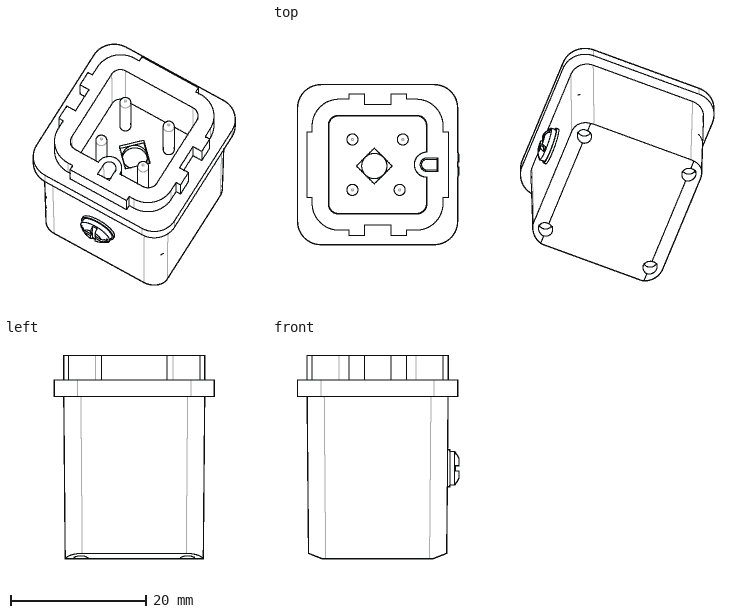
import cadquery as cq
import math

flange_bottom = 24.0
flange_thickness = 2.5
total_height = 30.1
flange_top = flange_bottom + flange_thickness
collar_height = total_height - flange_top

body_side = 20.9
body_corner_radius = 2.55
body_inset = 0.21
bottom_side = body_side - 2 * body_inset
bevel_start = 8.2
bevel_height = 0.8

flange_side = 23.74
flange_corner_radius = 3.5

collar_side = 19.4
collar_corner_radius = 4.0
rib_reach = 10.46
wide_rib_width = 9.7
coded_rib_width = 8.5
notch_width = 3.92
notch_floor_y = 8.94

cavity_side = 14.6
cavity_corner_radius = 1.5
cavity_depth = 11.5
cavity_taper = 0.4
cavity_floor = total_height - cavity_depth
key_center_x = cavity_side / 2
key_radius = 1.86
slot_radius = 1.0
slot_end_x = 8.97
slot_depth = 6.0
slot_taper = 2.0

recess_center = (-0.49, -0.2)
recess_side = 3.74
recess_depth = 1.0
recess_hole_depth = 1.0

pin_radius = 0.82
pin_tip_flat_radius = 0.16
pin_tip_drop = 1.74
pin_top = total_height - pin_tip_drop
pin_offset = 3.73
offset_pin_x = 3.26
pin_centers = [
    (-pin_offset, pin_offset),
    (pin_offset, pin_offset),
    (-pin_offset, -pin_offset),
    (offset_pin_x, -pin_offset),
]

terminal_x = 8.3
terminal_y = 7.9
terminal_hole_radius = 1.04
terminal_hole_depth = 3.0

screw_height = 13.4
washer_radius = 2.75
washer_outer_x = 10.7
head_radius = 2.5
head_edge_x = 11.4
head_top_x = 12.06
head_top_radius = 1.5
screw_root_depth = 1.0
screw_root_x = body_side / 2 - screw_root_depth
screw_slot_width = 0.75
screw_slot_floor_x = 11.55


def rounded_block(side, corner_radius, height, base_z):
    """Square block with rounded upright corners, centred on the Z axis."""
    block = cq.Workplane("XY").workplane(offset=base_z).rect(side, side).extrude(height)
    return block.edges("|Z").fillet(corner_radius)


def rounded_square(side, corner_radius):
    return cq.Sketch().rect(side, side).vertices().fillet(corner_radius)


def make_body():
    bottom_profile = rounded_square(bottom_side, body_corner_radius)
    top_profile = rounded_square(body_side, body_corner_radius)
    body = (
        cq.Workplane("XY")
        .placeSketch(bottom_profile, top_profile.moved(cq.Location(cq.Vector(0, 0, flange_bottom))))
        .loft(ruled=True)
    )
    bevel_run = bottom_side / 2 - bevel_start
    overrun = 2.0
    bevel = (
        cq.Workplane("XZ")
        .moveTo(bevel_start, 0)
        .lineTo(bevel_start + overrun * bevel_run, overrun * bevel_height)
        .lineTo(bevel_start + overrun * bevel_run, 0)
        .close()
        .extrude(body_side / 2, both=True)
    )
    return body.cut(bevel).cut(bevel.mirror("YZ"))


def make_collar():
    base = cq.Workplane("XY").workplane(offset=flange_top)
    collar = rounded_block(collar_side, collar_corner_radius, collar_height, flange_top)
    collar = collar.union(base.rect(2 * rib_reach, wide_rib_width).extrude(collar_height))
    collar = collar.union(base.rect(coded_rib_width, 2 * rib_reach).extrude(collar_height))
    notch_depth = rib_reach - notch_floor_y
    notch_center_y = notch_floor_y + notch_depth / 2
    notches = (
        base.pushPoints([(0, notch_center_y), (0, -notch_center_y)])
        .rect(notch_width, notch_depth)
        .extrude(collar_height)
    )
    return collar.cut(notches)


def make_cavity():
    top_plane = cq.Workplane("XY").workplane(offset=total_height)
    profile = rounded_square(cavity_side, cavity_corner_radius)
    cavity = top_plane.placeSketch(profile).extrude(-cavity_depth, taper=cavity_taper)
    key = top_plane.center(key_center_x, 0).circle(key_radius).extrude(-cavity_depth)
    return cavity.cut(key)


def make_key_slot():
    return (
        cq.Workplane("XY")
        .workplane(offset=total_height)
        .moveTo(slot_end_x, slot_radius)
        .lineTo(key_center_x, slot_radius)
        .threePointArc((key_center_x - slot_radius, 0), (key_center_x, -slot_radius))
        .lineTo(slot_end_x, -slot_radius)
        .close()
        .extrude(-slot_depth, taper=slot_taper)
    )


def make_floor_recess():
    square = (
        cq.Workplane("XY")
        .rect(recess_side, recess_side)
        .extrude(-recess_depth)
        .rotate((0, 0, 0), (0, 0, 1), 45)
    )
    hole = cq.Workplane("XY").circle(recess_side / 2).extrude(-recess_depth - recess_hole_depth)
    return square.union(hole).translate((*recess_center, cavity_floor))


def make_pins():
    root_overlap = 1.0
    root_z = cavity_floor - root_overlap
    return (
        cq.Workplane("XY")
        .workplane(offset=root_z)
        .pushPoints(pin_centers)
        .circle(pin_radius)
        .extrude(pin_top - root_z)
        .faces(">Z")
        .edges()
        .fillet(pin_radius - pin_tip_flat_radius)
    )


def make_terminal_holes():
    return (
        cq.Workplane("XY")
        .rect(2 * terminal_x, 2 * terminal_y, forConstruction=True)
        .vertices()
        .circle(terminal_hole_radius)
        .extrude(terminal_hole_depth)
    )


def make_screw():
    """Domed screw head on a washer, with a crossed slot, its axis along X."""
    dome_center_x = (head_top_x**2 + head_top_radius**2 - head_edge_x**2 - head_radius**2) / (
        2 * (head_top_x - head_edge_x)
    )
    dome_radius = math.hypot(head_top_x - dome_center_x, head_top_radius)
    middle_radius = (head_radius + head_top_radius) / 2
    middle_x = dome_center_x + math.sqrt(dome_radius**2 - middle_radius**2)
    screw = (
        cq.Workplane("XY")
        .moveTo(screw_root_x, 0)
        .lineTo(screw_root_x, washer_radius)
        .lineTo(washer_outer_x, washer_radius)
        .lineTo(washer_outer_x, head_radius)
        .lineTo(head_edge_x, head_radius)
        .threePointArc((middle_x, middle_radius), (head_top_x, head_top_radius))
        .lineTo(head_top_x, 0)
        .close()
        .revolve(360, (0, 0, 0), (1, 0, 0))
    )
    slot_plane = cq.Workplane("YZ").workplane(offset=screw_slot_floor_x)
    slot_depth_x = head_top_x - screw_slot_floor_x
    screw = screw.cut(slot_plane.rect(2 * head_radius, screw_slot_width).extrude(slot_depth_x))
    screw = screw.cut(slot_plane.rect(screw_slot_width, 2 * head_radius).extrude(slot_depth_x))
    return screw.translate((0, 0, screw_height))


result = make_body()
result = result.union(rounded_block(flange_side, flange_corner_radius, flange_thickness, flange_bottom))
result = result.union(make_collar())
result = result.cut(make_cavity())
result = result.cut(make_key_slot())
result = result.cut(make_floor_recess())
result = result.union(make_pins())
result = result.cut(make_terminal_holes())
result = result.union(make_screw())